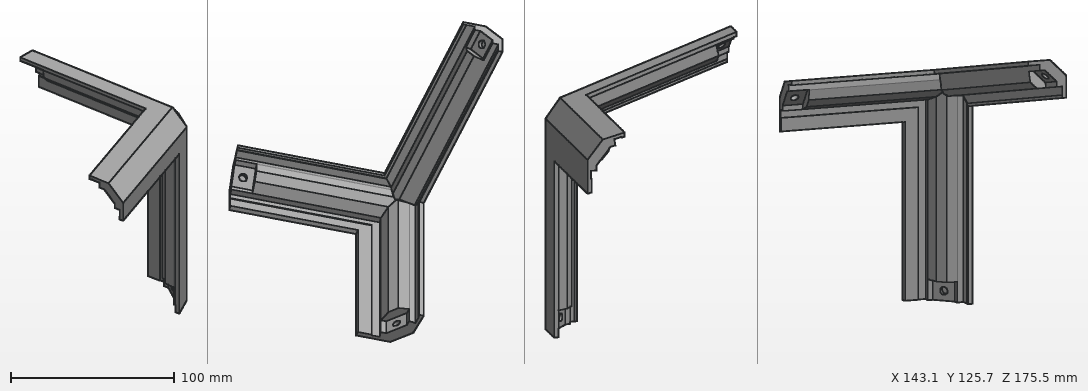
import cadquery as cq

WIDTH = 143.1
DEPTH = 125.7
HEIGHT = 175.5
MIRROR_RISE = HEIGHT - WIDTH
LEG_REACH = 23.5
ARM_TOP = 149.5
SLOPE = (HEIGHT - ARM_TOP) / (DEPTH - LEG_REACH)
CORNER_Z = HEIGHT - SLOPE * DEPTH
CORNER = cq.Vector(CORNER_Z - MIRROR_RISE, 0, CORNER_Z)

X_ARM = cq.Vector(-1, 0, 0)
Y_ARM = cq.Vector(SLOPE, -1, SLOPE).normalized()
Z_ARM = cq.Vector(0, 0, -1)
DIRECTIONS = [X_ARM, Y_ARM, Z_ARM]

BACK_LEG_END = 112.0
LEG_THICKNESS = 2.8
GROOVE_SKIN = 2.3
BACK_LIP = 121.3
FRONT_LIP = 21.8
BACK_STEP = 126.5
FRONT_STEP = 17.0
SEAT_LOW = (5.8, 129.8)
SEAT_HIGH = (14.5, 140.8)
SEAT_EDGE = (17.7, 141.5)
BACK_CHAMFER_Z = 133.6
TOP_CHAMFER_REACH = 9.7
BLOCK_LOW = (12.6, 129.5)
BLOCK_HIGH = (17.0, 134.8)

Y_LEG = 24.8
Y_CHAMFER = 10.7
Y_LIP = 22.8
Y_STEP = 17.4
Y_STEP_DEPTH = 6.3
Y_GROOVE_SKIN = 2.6
Y_SEAT = 14.0
Y_BLOCK = 13.2

SEAT_LENGTH = 13.2
HOLE_SETBACK = 6.3
HOLE_DIAMETER = 5.0
HOLE_DEPTH = 3.5

OVERRUN = 35.1
CUTTER = 702.3


def half_space(point, normal):
    """Large box filling the side of a plane that its normal points to."""
    plane = cq.Plane(origin=point.toTuple(), normal=normal.toTuple())
    return cq.Workplane(plane).rect(CUTTER, CUTTER).extrude(CUTTER)


def sweep(points, travel):
    """Prism of a section carried along a travel that may be oblique to it."""
    wire = cq.Wire.makePolygon(points, close=True)
    return cq.Workplane(cq.Solid.extrudeLinear(wire, [], travel))


def make_arm(direction, shell, block, seat_ends):
    """Arm with the given end section, a filling block, and a screw seat left open at its end."""
    end_distance = (shell[0] - CORNER).dot(direction)
    travel = direction * -(end_distance + OVERRUN)
    seat_middle = (seat_ends[0] + seat_ends[1]) * 0.5
    block_start = seat_ends[0] - direction * SEAT_LENGTH
    filling = sweep(block, travel).intersect(half_space(block_start, direction * -1))
    arm = sweep(shell, travel).union(filling)

    into_wall = direction.cross(seat_ends[1] - seat_ends[0]).normalized()
    if into_wall.dot(CORNER - seat_middle) < 0:
        into_wall = into_wall * -1
    hole_start = seat_middle - direction * HOLE_SETBACK
    hole = cq.Solid.makeCylinder(HOLE_DIAMETER / 2, HOLE_DEPTH, hole_start, into_wall)
    arm = arm.cut(cq.Workplane(hole))

    for other in DIRECTIONS:
        if other is not direction:
            arm = arm.intersect(half_space(CORNER, direction - other))
    return arm


def top_at(reach, thickness=0.0):
    """Height of the sloping top, or of a face below it, at a distance forward."""
    return CORNER_Z + SLOPE * reach - thickness


SEAT_SECTION = [
    (FRONT_STEP, top_at(FRONT_STEP, GROOVE_SKIN)),
    SEAT_EDGE,
    SEAT_HIGH,
    SEAT_LOW,
    (SEAT_LOW[0], BACK_STEP),
]
SHELL_SECTION = [
    (0, BACK_LEG_END),
    (0, BACK_CHAMFER_Z),
    (TOP_CHAMFER_REACH, top_at(TOP_CHAMFER_REACH)),
    (LEG_REACH, ARM_TOP),
    (LEG_REACH, top_at(LEG_REACH, LEG_THICKNESS)),
    (FRONT_LIP, top_at(FRONT_LIP, LEG_THICKNESS)),
    (FRONT_LIP, top_at(FRONT_LIP, GROOVE_SKIN)),
    *SEAT_SECTION,
    (GROOVE_SKIN, BACK_STEP),
    (GROOVE_SKIN, BACK_LIP),
    (LEG_THICKNESS, BACK_LIP),
    (LEG_THICKNESS, BACK_LEG_END + SLOPE * LEG_THICKNESS),
]
BLOCK_SECTION = [*SEAT_SECTION[1:], BLOCK_LOW, BLOCK_HIGH]

Y_SEAT_SECTION = [
    (Y_STEP, Y_GROOVE_SKIN),
    (Y_STEP, Y_STEP_DEPTH),
    (Y_SEAT, Y_STEP_DEPTH),
    (Y_STEP_DEPTH, Y_SEAT),
    (Y_STEP_DEPTH, Y_STEP),
    (Y_GROOVE_SKIN, Y_STEP),
]
Y_SHELL_SECTION = [
    (0, Y_LEG),
    (0, Y_CHAMFER),
    (Y_CHAMFER, 0),
    (Y_LEG, 0),
    (Y_LEG, LEG_THICKNESS),
    (Y_LIP, LEG_THICKNESS),
    (Y_LIP, Y_GROOVE_SKIN),
    *Y_SEAT_SECTION,
    (Y_GROOVE_SKIN, Y_LIP),
    (LEG_THICKNESS, Y_LIP),
    (LEG_THICKNESS, Y_LEG),
]
Y_BLOCK_SECTION = [*Y_SEAT_SECTION[1:5], (Y_BLOCK, Y_STEP), (Y_STEP, Y_BLOCK)]


def on_x_end(section):
    return [cq.Vector(0, -reach, height) for reach, height in section]


def on_z_end(section):
    return [cq.Vector(height - MIRROR_RISE, -reach, 0) for reach, height in section]


def on_y_end(section):
    return [cq.Vector(WIDTH - across, -DEPTH, HEIGHT - down) for across, down in section]


straight_sections = (SHELL_SECTION, BLOCK_SECTION, [SEAT_HIGH, SEAT_LOW])
y_sections = (Y_SHELL_SECTION, Y_BLOCK_SECTION, Y_SEAT_SECTION[2:4])

x_arm = make_arm(X_ARM, *[on_x_end(section) for section in straight_sections])
z_arm = make_arm(Z_ARM, *[on_z_end(section) for section in straight_sections])
y_arm = make_arm(Y_ARM, *[on_y_end(section) for section in y_sections])

back_point = cq.Vector(BACK_CHAMFER_Z - MIRROR_RISE, 0, BACK_CHAMFER_Z)
top_point = cq.Vector(
    WIDTH - Y_CHAMFER - SLOPE * (DEPTH - TOP_CHAMFER_REACH),
    -TOP_CHAMFER_REACH,
    top_at(TOP_CHAMFER_REACH),
)
side_point = cq.Vector(top_point.z - MIRROR_RISE, top_point.y, top_point.x + MIRROR_RISE)
facet_normal = (top_point - back_point).cross(side_point - back_point)

result = x_arm.union(z_arm).union(y_arm).cut(half_space(back_point, facet_normal))